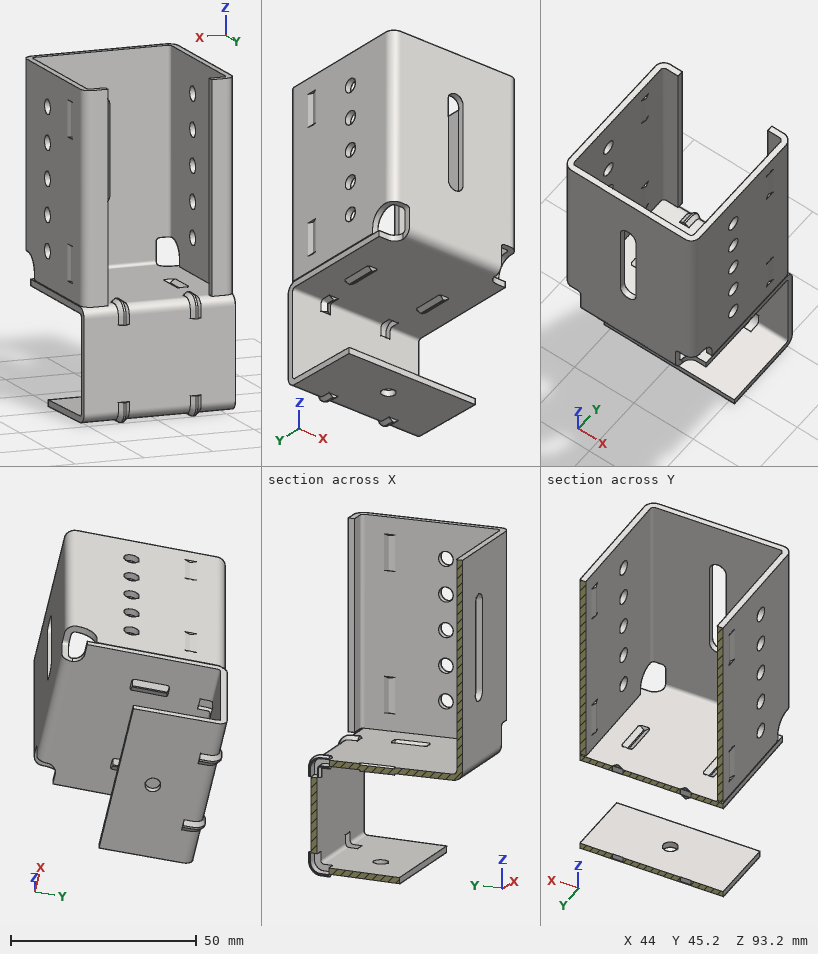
import cadquery as cq
import math

width = 44.0
depth = 44.25
height = 93.2
sheet = 1.9
inner_bend = 1.0
outer_bend = inner_bend + sheet

flange_width = 6.9
wall_bottom = 33.3

plate_top = 33.0
plate_bottom = plate_top - sheet
front_bend_z = plate_bottom + outer_bend
drop_bend_z = plate_top - outer_bend
drop_bend_y = depth - outer_bend
foot_reach = 25.9
foot_slope = math.radians(1.3)

notch_top = 40.15
notch_width = 6.0
front_notch_radius = 1.0
side_notch_depth = 8.4
side_notch_radius = 5.0
plate_notch_depth = 5.7
plate_notch_radius = 3.0
tab_width = width - 2 * notch_width

hole_diameter = 4.2
hole_pitch = 10.0
hole_count = 5
hole_y = 17.9
top_hole_z = height - hole_pitch
bottom_hole_z = top_hole_z - (hole_count - 1) * hole_pitch
slot_length = 30.0
slot_width = 5.1
slot_z = 65.7
foot_hole_y = 28.5

side_dent_y = 34.2
side_dent_length = 10.25
side_dent_width = 3.2
side_dent_depth = 0.5
side_dent_valley = 0.1
plate_dent_x = 12.5
plate_dent_y = 25.0
plate_dent_length = 10.4
plate_dent_width = 3.45
plate_dent_depth = 0.9
plate_dent_valley = 0.4
plate_dent_corner = 0.8

ridge_x = 10.4
ridge_width = 3.2
ridge_height = 0.9
ridge_reach = 5.3
ridge_leg = ridge_reach - outer_bend
outer_ridge_tip = 0.6
inner_ridge_tip = 0.2

foot_bend_z = (outer_bend + ridge_height) * math.cos(foot_slope) + ridge_leg * math.sin(foot_slope)
foot_turn = math.pi / 2 - foot_slope


def drop_bend_point(radius, angle):
    """Point on the bend between plate and drop wall; the angle runs from the plate to the wall."""
    return (drop_bend_y + radius * math.sin(angle), drop_bend_z + radius * math.cos(angle))


def foot_bend_point(radius, angle, run=0.0):
    """Point on the bend between drop wall and foot, moved on by a run along the tangent."""
    y = drop_bend_y + radius * math.cos(angle) - run * math.sin(angle)
    z = foot_bend_z - radius * math.sin(angle) - run * math.cos(angle)
    return (y, z)


def drop_bend_path(radius):
    """Ridge path over the upper rear bend, from the plate to the drop wall."""
    start = drop_bend_point(radius, 0)
    end = drop_bend_point(radius, math.pi / 2)
    return (
        cq.Workplane("YZ")
        .moveTo(start[0] - ridge_leg, start[1])
        .lineTo(*start)
        .threePointArc(drop_bend_point(radius, math.pi / 4), end)
        .lineTo(end[0], end[1] - ridge_leg)
    )


def foot_bend_path(radius):
    """Ridge path over the lower rear bend, from the drop wall to the foot."""
    start = foot_bend_point(radius, 0)
    return (
        cq.Workplane("YZ")
        .moveTo(start[0], start[1] + ridge_leg)
        .lineTo(*start)
        .threePointArc(foot_bend_point(radius, foot_turn / 2), foot_bend_point(radius, foot_turn))
        .lineTo(*foot_bend_point(radius, foot_turn, ridge_leg))
    )


def sweep_section(path, section):
    """Sweep a section along a path in the YZ plane; the section's X stays along X."""
    wire = cq.Wire.assembleEdges(path.ctx.pendingEdges)
    start_plane = cq.Plane(wire.startPoint(), (1, 0, 0), wire.tangentAt(0))
    return cq.Workplane(start_plane).polyline(section).close().sweep(cq.Workplane(wire))


def ridge(path, rise, tip_width):
    """Trapezoidal ridge standing on the sheet surface that the path follows."""
    section = [
        (-ridge_width / 2, 0),
        (ridge_width / 2, 0),
        (tip_width / 2, rise),
        (-tip_width / 2, rise),
    ]
    return sweep_section(path, section)


def ridge_opening(path):
    """Opening through the sheet that a ridge covers."""
    half = ridge_width / 2
    return sweep_section(path, [(-half, 0), (half, 0), (half, sheet), (-half, sheet)])


def upright():
    """C-shaped channel open at the back between two flanges."""
    outer = cq.Workplane("XY").box(width, depth, height - wall_bottom, centered=(True, False, False))
    outer = outer.edges("|Z").fillet(outer_bend)
    inner = (
        cq.Workplane("XY")
        .box(width - 2 * sheet, depth - 2 * sheet, height, centered=(True, False, False))
        .edges("|Z")
        .fillet(inner_bend)
        .translate((0, sheet, 0))
    )
    rear_gap = (
        cq.Workplane("XY")
        .box(width - 2 * flange_width, depth, height, centered=(True, False, False))
        .translate((0, depth / 2, 0))
    )
    front_gap = cq.Workplane("XY").box(width, 2 * outer_bend, 2 * (front_bend_z - wall_bottom))
    return outer.cut(inner).cut(rear_gap).cut(front_gap).translate((0, 0, wall_bottom))


def plate_and_foot():
    """Bent strip: front tab, plate, drop wall and sloping foot."""
    plate_end = drop_bend_point(inner_bend, 0)
    wall_start = drop_bend_point(inner_bend, math.pi / 2)
    foot_run = (foot_reach - outer_bend) / math.cos(foot_slope)
    front_arc_middle = outer_bend * (1 - math.sqrt(0.5))
    path = (
        cq.Workplane("YZ")
        .moveTo(0, notch_top)
        .lineTo(0, front_bend_z)
        .threePointArc((front_arc_middle, plate_bottom + front_arc_middle), (outer_bend, plate_bottom))
        .lineTo(*plate_end)
        .threePointArc(drop_bend_point(inner_bend, math.pi / 4), wall_start)
        .lineTo(*foot_bend_point(inner_bend, 0))
        .threePointArc(foot_bend_point(inner_bend, foot_turn / 2), foot_bend_point(inner_bend, foot_turn))
        .lineTo(*foot_bend_point(inner_bend, foot_turn, foot_run))
    )
    half = width / 2
    return sweep_section(path, [(-half, 0), (half, 0), (half, -sheet), (-half, -sheet)])


def corner_notches():
    """Relief cuts at the left front corner, through the front, the side and the plate."""
    cut_z = plate_bottom - sheet
    front = (
        cq.Workplane("XY")
        .box(width, outer_bend, notch_top - cut_z, centered=(False, False, False))
        .edges("|Y and >X and >Z")
        .fillet(front_notch_radius)
        .translate((-tab_width / 2 - width, 0, cut_z))
    )
    side = (
        cq.Workplane("XY")
        .box(outer_bend, side_notch_depth, notch_top - plate_top, centered=(False, False, False))
        .edges("|X and >Y and >Z")
        .fillet(side_notch_radius)
        .translate((-width / 2, 0, plate_top))
    )
    plate = (
        cq.Workplane("XY")
        .box(width, plate_notch_depth, plate_top - cut_z, centered=(False, False, False))
        .edges("|Z and >X and >Y")
        .fillet(plate_notch_radius)
        .translate((-tab_width / 2 - width, 0, cut_z))
    )
    return front.union(side).union(plate)


def dent_wedge(length, base_width, valley_width, depth_of_dent):
    """Hipped wedge lying along local Y with its base at Z = 0 and pointing to -Z."""
    hip = depth_of_dent / 2
    return (
        cq.Workplane("XY")
        .rect(base_width, length)
        .workplane(offset=-depth_of_dent)
        .rect(valley_width, length - 2 * hip)
        .loft(ruled=True)
    )


def press_plate_dents(body):
    """Dents in the plate with rounded corners, grooved above and raised below."""
    wedge = dent_wedge(plate_dent_length, plate_dent_width, plate_dent_valley, plate_dent_depth)
    rounded_outline = (
        cq.Workplane("XY")
        .box(plate_dent_width, plate_dent_length, 2 * plate_dent_depth)
        .edges("|Z")
        .fillet(plate_dent_corner)
    )
    wedge = wedge.intersect(rounded_outline)
    for x in (-plate_dent_x, plate_dent_x):
        body = body.union(wedge.translate((x, plate_dent_y, plate_bottom)))
        body = body.cut(wedge.translate((x, plate_dent_y, plate_top)))
    return body


def press_side_dents(body):
    """Dents in the side walls, grooved outside and raised inside."""
    wedge = dent_wedge(side_dent_length, side_dent_width, side_dent_valley, side_dent_depth)
    upright_wedge = wedge.rotate((0, 0, 0), (1, 0, 0), 90)
    for side in (-1, 1):
        turned = upright_wedge.rotate((0, 0, 0), (0, 0, 1), 90 * side)
        for z in (bottom_hole_z, top_hole_z):
            body = body.union(turned.translate((side * (width / 2 - sheet), side_dent_y, z)))
            body = body.cut(turned.translate((side * width / 2, side_dent_y, z)))
    return body


def cut_holes(body):
    """Holes across both side walls, the front slot and the foot hole."""
    for i in range(hole_count):
        z = bottom_hole_z + i * hole_pitch
        drill = cq.Workplane("YZ").center(hole_y, z).circle(hole_diameter / 2).extrude(width, both=True)
        body = body.cut(drill)
    slot = (
        cq.Workplane("XZ")
        .center(0, slot_z)
        .slot2D(slot_length, slot_width, 90)
        .extrude(2 * sheet, both=True)
    )
    foot_drill = (
        cq.Workplane("XY")
        .center(0, foot_hole_y)
        .circle(hole_diameter / 2)
        .extrude(foot_bend_z)
    )
    return body.cut(slot).cut(foot_drill)


notches = corner_notches()
bracket = upright().union(plate_and_foot()).cut(notches).cut(notches.mirror("YZ"))
bracket = press_side_dents(press_plate_dents(cut_holes(bracket)))

outer_ridges = []
for path_over_bend in (drop_bend_path, foot_bend_path):
    for x in (-ridge_x, ridge_x):
        path = path_over_bend(outer_bend)
        bracket = bracket.cut(ridge_opening(path).translate((x, 0, 0)))
        outer_ridges.append(ridge(path, -ridge_height, outer_ridge_tip).translate((x, 0, 0)))

inner_ridge = ridge(drop_bend_path(inner_bend), ridge_height, inner_ridge_tip).translate((-ridge_x, 0, 0))

result = cq.Compound.makeCompound(
    [bracket.val(), inner_ridge.val(), *[outer_ridge.val() for outer_ridge in outer_ridges]]
)